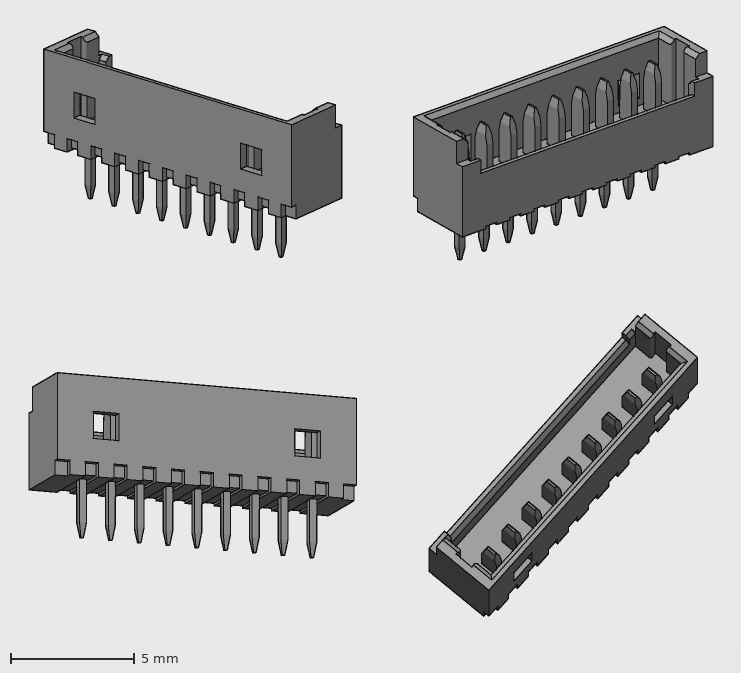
import cadquery as cq

LENGTH = 13.0
DEPTH = 3.2
TOTAL_HEIGHT = 6.5
TAIL_LENGTH = 2.3
HEIGHT = TOTAL_HEIGHT - TAIL_LENGTH

FLOOR_Z = 1.26
LONG_WALL = 0.39
END_WALL = 0.6
RIM_CHAMFER = 0.2

SHOULDER_DROP = 1.0
REAR_DROP = 1.6
SHOULDER_LENGTH = 0.96

SLOT_MOUTH_WIDTH = 0.74
SLOT_BACK_WIDTH = 0.86
SLOT_BACK_WALL = 0.3
SLOT_FROM_REAR = 1.61
RIB_ROUND = 0.09

WINDOW_WIDTH = 1.1
WINDOW_HEIGHT = 1.13
WINDOW_SILL_Z = 1.59

NOTCH_WIDTH = 0.56
NOTCH_HEIGHT = 0.6
NOTCH_DEPTH = 0.27
GROOVE_HEIGHT = 0.1

PIN_COUNT = 9
PIN_ROW_SPAN = 10.0
PIN_Y = 1.15
PIN_WIDTH = 0.31
TAIL_TIP_WIDTH = 0.12
TAIL_TIP_LENGTH = 0.61
BLADE_DEPTH = 0.78
BLADE_TIP_WIDTH = 0.09
BLADE_TIP_DEPTH = 0.43
BLADE_SIDE_BEVEL = 0.39
BLADE_END_BEVEL = 0.78
BLADE_TOP_Z = 3.48

PITCH = PIN_ROW_SPAN / (PIN_COUNT - 1)
PIN_XS = [i * PITCH - PIN_ROW_SPAN / 2 for i in range(PIN_COUNT)]
REAR_INNER_Y = DEPTH - LONG_WALL
BLADE_BASE_Z = FLOOR_Z / 2
CAVITY_LENGTH = LENGTH - 2 * END_WALL
SIDES = (-1, 1)


def box(x_size, y_size, z_size, x_center, y_min, z_min):
    """Box centred in X at x_center, growing from y_min and z_min."""
    return (
        cq.Workplane("XY")
        .box(x_size, y_size, z_size, centered=(True, False, False))
        .translate((x_center, y_min, z_min))
    )


def frustum(base_x, base_y, tip_x, tip_y, z_base, z_tip, y_center):
    """Four-sided taper between two rectangles centred on X = 0 and Y = y_center."""
    return (
        cq.Workplane("XY", origin=(0, y_center, z_base))
        .rect(base_x, base_y)
        .workplane(offset=z_tip - z_base)
        .rect(tip_x, tip_y)
        .loft(ruled=True)
    )


def rear_chamfer(x_size, z_top):
    """Wedge that bevels the inner edge of the rear wall at height z_top."""
    return (
        cq.Workplane("YZ")
        .moveTo(REAR_INNER_Y, z_top)
        .lineTo(REAR_INNER_Y + RIM_CHAMFER, z_top)
        .lineTo(REAR_INNER_Y, z_top - RIM_CHAMFER)
        .close()
        .extrude(x_size / 2, both=True)
    )


def make_shell():
    shell = box(LENGTH, DEPTH, HEIGHT, 0, 0, 0)
    cavity_depth = REAR_INNER_Y - LONG_WALL
    shell = shell.cut(box(CAVITY_LENGTH, cavity_depth, HEIGHT, 0, LONG_WALL, FLOOR_Z))

    shoulder_z = HEIGHT - SHOULDER_DROP
    rear_z = HEIGHT - REAR_DROP
    middle_length = LENGTH - 2 * SHOULDER_LENGTH
    shell = shell.cut(box(LENGTH, LONG_WALL, HEIGHT, 0, REAR_INNER_Y, shoulder_z))
    shell = shell.cut(box(middle_length, LONG_WALL, HEIGHT, 0, REAR_INNER_Y, rear_z))

    shell = shell.cut(rear_chamfer(CAVITY_LENGTH, shoulder_z))
    shell = shell.cut(rear_chamfer(middle_length, rear_z))
    return shell.cut(rim_bevel())


def rim_bevel():
    """Upward flare of the cavity mouth on the front wall and both end walls."""
    mouth_depth = 2 * (REAR_INNER_Y - LONG_WALL)
    flare = frustum(
        CAVITY_LENGTH, mouth_depth,
        CAVITY_LENGTH + 2 * RIM_CHAMFER, mouth_depth + 2 * RIM_CHAMFER,
        HEIGHT - RIM_CHAMFER, HEIGHT, REAR_INNER_Y,
    )
    return flare.intersect(box(LENGTH, REAR_INNER_Y, HEIGHT, 0, 0, 0))


def cut_keying_slots(shell):
    """Slots that widen towards the back, with the rib corners at their mouths rounded."""
    slot_y = DEPTH - SLOT_FROM_REAR
    back_x = LENGTH / 2 - SLOT_BACK_WALL
    mouth_x = CAVITY_LENGTH / 2
    mouth_front_y = slot_y - SLOT_MOUTH_WIDTH / 2
    mouth_rear_y = slot_y + SLOT_MOUTH_WIDTH / 2
    rib_mid_z = (FLOOR_Z + HEIGHT) / 2
    for side in SIDES:
        slot = (
            cq.Workplane("XY", origin=(0, 0, FLOOR_Z))
            .moveTo(side * mouth_x, mouth_front_y)
            .lineTo(side * back_x, slot_y - SLOT_BACK_WIDTH / 2)
            .lineTo(side * back_x, slot_y + SLOT_BACK_WIDTH / 2)
            .lineTo(side * mouth_x, mouth_rear_y)
            .close()
            .extrude(HEIGHT - FLOOR_Z)
        )
        shell = shell.cut(slot)
        for y in (mouth_front_y, mouth_rear_y):
            rib_corner = cq.NearestToPointSelector((side * mouth_x, y, rib_mid_z))
            shell = shell.edges(rib_corner).fillet(RIB_ROUND)
    return shell


def cut_windows(shell):
    window_x = PIN_XS[-1] - PITCH / 2
    for side in SIDES:
        shell = shell.cut(
            box(WINDOW_WIDTH, LONG_WALL, WINDOW_HEIGHT, side * window_x, 0, WINDOW_SILL_Z)
        )
    return shell


def cut_underside(shell):
    for x in PIN_XS:
        shell = shell.cut(box(NOTCH_WIDTH, NOTCH_DEPTH, NOTCH_HEIGHT, x, 0, 0))
        shell = shell.cut(box(NOTCH_WIDTH, DEPTH, GROOVE_HEIGHT, x, 0, 0))
    corner_x = (LENGTH - NOTCH_WIDTH) / 2
    for side in SIDES:
        shell = shell.cut(
            box(NOTCH_WIDTH, NOTCH_DEPTH, NOTCH_HEIGHT, side * corner_x, 0, 0)
        )
    return shell


def blade_outline(plane, width, tip_width, bevel_length):
    """Blade silhouette in the given plane, tapering to tip_width over bevel_length."""
    half = width / 2
    half_tip = tip_width / 2
    shoulder_z = BLADE_TOP_Z - bevel_length
    points = [
        (-half, BLADE_BASE_Z),
        (-half, shoulder_z),
        (-half_tip, BLADE_TOP_Z),
        (half_tip, BLADE_TOP_Z),
        (half, shoulder_z),
        (half, BLADE_BASE_Z),
    ]
    return cq.Workplane(plane).polyline(points).close()


def make_blade():
    """Contact blade whose end bevels run further down than its side bevels."""
    side_to_side = blade_outline("XZ", PIN_WIDTH, BLADE_TIP_WIDTH, BLADE_SIDE_BEVEL)
    front_to_back = blade_outline("YZ", BLADE_DEPTH, BLADE_TIP_DEPTH, BLADE_END_BEVEL)
    blade = side_to_side.extrude(BLADE_DEPTH / 2, both=True)
    return blade.intersect(front_to_back.extrude(PIN_WIDTH / 2, both=True))


def make_tail():
    shoulder_z = TAIL_TIP_LENGTH - TAIL_LENGTH
    shank = box(PIN_WIDTH, PIN_WIDTH, FLOOR_Z - shoulder_z, 0, -PIN_WIDTH / 2, shoulder_z)
    tip = frustum(
        PIN_WIDTH, PIN_WIDTH, TAIL_TIP_WIDTH, TAIL_TIP_WIDTH, shoulder_z, -TAIL_LENGTH, 0,
    )
    return shank.union(tip)


housing = cut_underside(cut_windows(cut_keying_slots(make_shell())))
pin = make_tail().union(make_blade())
for pin_x in PIN_XS:
    housing = housing.union(pin.translate((pin_x, PIN_Y, 0)))

result = housing